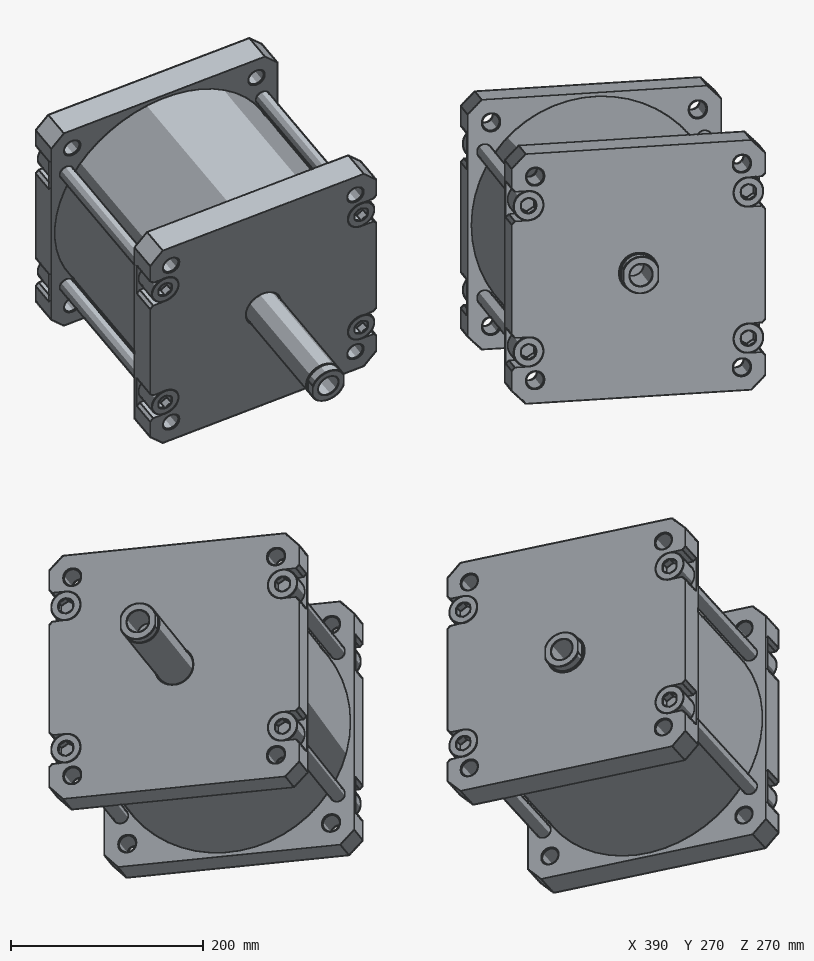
import cadquery as cq
import math

shaft_length = 390.0
stub_length = 12.0
plate_thickness = 33.0
barrel_length = 175.0

plate_size = 270.0
plate_corner_chamfer = 15.0
mount_hole_diameter = 18.0
mount_hole_offset = 110.0
mount_hole_chamfer = 1.0
shaft_hole_chamfer = 1.0

barrel_diameter = 262.0

shaft_diameter = 40.0
flats_width = 37.0
flats_length = 10.0
end_hole_diameter = 24.0
end_hole_depth = 40.0
end_hole_tip_depth = 7.0
shaft_edge_chamfer = 0.5
groove_distance = 11.0
groove_width = 1.2
groove_depth = 0.5

rod_diameter = 16.0
rod_y = 117.0
rod_z = 79.0
head_diameter = 32.0
head_length = 28.0
head_chamfer = 0.5
socket_width = 15.0
socket_depth = 10.0
socket_countersink_diameter = 17.0
mouth_chamfer = 3.5

plate_1_x = stub_length
barrel_x = plate_1_x + plate_thickness
plate_2_x = barrel_x + barrel_length
plates_end_x = plate_2_x + plate_thickness
HEXAGON_SIDES = 6
hexagon_diameter = socket_width / math.cos(math.pi / HEXAGON_SIDES)
mount_offsets = (-mount_hole_offset, mount_hole_offset)
mount_hole_positions = [(y, z) for y in mount_offsets for z in mount_offsets]
rod_positions = [(y, z) for y in (-rod_y, rod_y) for z in (-rod_z, rod_z)]


def rod_along_x(x_start, length, diameter, y=0.0, z=0.0):
    """Round bar parallel to X, starting at x_start."""
    return cq.Workplane("YZ", origin=(x_start, y, z)).circle(diameter / 2).extrude(length)


def countersink(x_face, direction, mouth_diameter, depth, y=0.0, z=0.0):
    """45 degree cone entering a face at x_face and heading along direction (+1 or -1) in X."""
    mouth_radius = mouth_diameter / 2
    axis = cq.Vector(direction, 0, 0)
    inner_radius = mouth_radius - depth
    cone = cq.Solid.makeCone(mouth_radius, inner_radius, depth, cq.Vector(x_face, y, z), axis)
    return cq.Workplane(cone)


def head_pocket(x_start, y, z):
    """Seat for one rod head, open to the nearest side face through a chamfered slot."""
    side = 1 if y > 0 else -1
    half_width = head_diameter / 2
    to_edge = plate_size / 2 - abs(y)
    slot = (
        cq.Workplane("YZ", origin=(x_start, y, z))
        .moveTo(0, half_width)
        .lineTo(side * (to_edge - mouth_chamfer), half_width)
        .lineTo(side * to_edge, half_width + mouth_chamfer)
        .lineTo(side * to_edge, -half_width - mouth_chamfer)
        .lineTo(side * (to_edge - mouth_chamfer), -half_width)
        .lineTo(0, -half_width)
        .close()
        .extrude(head_length)
    )
    return slot.union(rod_along_x(x_start, head_length, head_diameter, y, z))


def make_plate(x_start, outward):
    """Square end plate with mounting holes, shaft hole, rod holes and head pockets.

    outward is the X direction (+1 or -1) of the face that takes the rod heads.
    """
    x_end = x_start + plate_thickness
    outer_x = x_end if outward > 0 else x_start
    pocket_x = x_end - head_length if outward > 0 else x_start
    plate = (
        cq.Workplane("YZ", origin=(x_start, 0, 0))
        .rect(plate_size, plate_size)
        .extrude(plate_thickness)
        .edges("|X")
        .chamfer(plate_corner_chamfer)
    )
    plate = plate.cut(rod_along_x(x_start, plate_thickness, shaft_diameter))
    shaft_mouth = shaft_diameter + 2 * shaft_hole_chamfer
    plate = plate.cut(countersink(outer_x, -outward, shaft_mouth, shaft_hole_chamfer))
    mount_mouth = mount_hole_diameter + 2 * mount_hole_chamfer
    for y, z in mount_hole_positions:
        plate = plate.cut(rod_along_x(x_start, plate_thickness, mount_hole_diameter, y, z))
        plate = plate.cut(countersink(x_start, 1, mount_mouth, mount_hole_chamfer, y, z))
        plate = plate.cut(countersink(x_end, -1, mount_mouth, mount_hole_chamfer, y, z))
    for y, z in rod_positions:
        plate = plate.cut(rod_along_x(x_start, plate_thickness, rod_diameter, y, z))
        plate = plate.cut(head_pocket(pocket_x, y, z))
    return plate


def make_barrel():
    """Round barrel between the plates, bored for the shaft."""
    barrel = rod_along_x(barrel_x, barrel_length, barrel_diameter)
    return barrel.cut(rod_along_x(barrel_x, barrel_length, shaft_diameter))


def end_hole():
    """Blind hole with a chamfered mouth and conical bottom, entering the shaft at x = 0."""
    radius = end_hole_diameter / 2
    tip_x = end_hole_depth + end_hole_tip_depth
    hole = (
        cq.Workplane("XY")
        .polyline([(0, 0), (0, radius), (end_hole_depth, radius), (tip_x, 0)])
        .close()
        .revolve(360, (0, 0, 0), (1, 0, 0))
    )
    mouth = end_hole_diameter + 2 * shaft_edge_chamfer
    return hole.union(countersink(0, 1, mouth, shaft_edge_chamfer))


def end_groove():
    """Shallow ring groove just behind the wrench flats at x = 0."""
    ring = rod_along_x(groove_distance, groove_width, shaft_diameter)
    return ring.cut(rod_along_x(groove_distance, groove_width, shaft_diameter - 2 * groove_depth))


def end_flats():
    """Material removed beside the two wrench flats at x = 0."""
    centering = (False, True, True)
    block = cq.Workplane("XY").box(flats_length, shaft_diameter, shaft_diameter, centered=centering)
    kept = cq.Workplane("XY").box(flats_length, flats_width, shaft_diameter, centered=centering)
    return block.cut(kept)


def make_shaft():
    """Through shaft, machined alike at both ends."""
    shaft = rod_along_x(0, shaft_length, shaft_diameter).faces("<X or >X").chamfer(shaft_edge_chamfer)
    middle = (shaft_length / 2, 0, 0)
    for cutter in (end_hole(), end_flats(), end_groove()):
        shaft = shaft.cut(cutter)
        shaft = shaft.cut(cutter.mirror("YZ", middle))
    return shaft


def make_head(x_face, direction, y, z):
    """Socket head whose outer face is at x_face and whose shank runs along direction in X."""
    frame = cq.Plane(origin=(x_face, y, z), xDir=(0, 0, 1), normal=(direction, 0, 0))
    head = cq.Workplane(frame).circle(head_diameter / 2).extrude(head_length)
    head = head.faces("<X" if direction > 0 else ">X").chamfer(head_chamfer)
    socket = cq.Workplane(frame).polygon(HEXAGON_SIDES, hexagon_diameter).extrude(socket_depth)
    countersink_depth = (socket_countersink_diameter - socket_width) / 2
    mouth = countersink(x_face, direction, socket_countersink_diameter, countersink_depth, y, z)
    return head.cut(socket).cut(mouth)


def make_tie_rod(y, z):
    """Rod from plate to plate with a hexagon-socket head at each end."""
    shank_x = plate_1_x + head_length
    shank_length = plates_end_x - head_length - shank_x
    rod = rod_along_x(shank_x, shank_length, rod_diameter, y, z)
    return rod.union(make_head(plate_1_x, 1, y, z)).union(make_head(plates_end_x, -1, y, z))


plate_1 = make_plate(plate_1_x, -1)
plate_2 = make_plate(plate_2_x, 1)
barrel = make_barrel()
shaft = make_shaft()
tie_rods = [make_tie_rod(y, z) for y, z in rod_positions]

result = cq.Compound.makeCompound(
    [plate_1.val(), plate_2.val(), barrel.val(), shaft.val(), *[rod.val() for rod in tie_rods]]
)